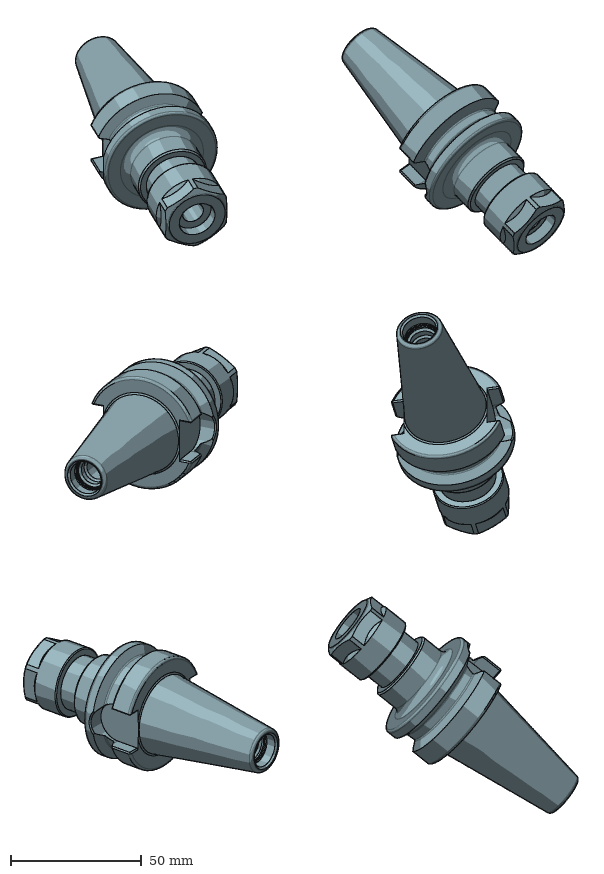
import cadquery as cq
import math

total_length = 108.4
flange_left = 49.3
flange_right = 70.5
neck_end = 82.5
nut_start = 90.8

taper_ratio = 7 / 24
taper_end = 49.0
taper_end_radius = 32.0 / 2
taper_tip_radius = taper_end_radius - taper_end * taper_ratio / 2
taper_tip_fillet = 1.3
taper_base_radius = 33.5 / 2

flange_radius = 46.0 / 2
flange_fillet = 1.0
groove_left = 58.0
groove_right = 66.2
groove_radius = 38.4 / 2
groove_flank_angle = 30
groove_flank_run = (flange_radius - groove_radius) * math.tan(math.radians(groove_flank_angle))
groove_fillet = 0.7

neck_radius = 28.0 / 2
neck_fillet = 3.0
neck_edge_chamfer = 0.7
shaft_radius = 22.0 / 2
shaft_end = 104.1

slot_half_width = 16.2 / 2
slot_floor_y = 16.3
slot_end = 67.3
slot_arc_center = slot_end - slot_half_width
slot_chamfer = 0.5

mouth_radius = 14.6 / 2
entry_radius = 13.1 / 2
entry_depth = 4.5
relief_radius = 12.5 / 2
relief_depth = 5.4
step_radius = 11.8 / 2
step_depth = 6.5
pilot_radius = 10.1 / 2
pilot_depth = 9.8
through_radius = 8.5 / 2

nut_radius = neck_radius
nut_back_chamfer = 0.4
hex_start = 101.0
hex_across_flats = 25.0
tip_cone_start = 106.9
tip_cone_end_radius = 23.5 / 2
tip_chamfer = 0.3
nut_opening_radius = 14.6 / 2


def revolve_about_x(profile):
    """Closes an XY profile and turns it into a solid around the X axis."""
    return profile.close().revolve(360, (0, 0, 0), (1, 0, 0))


def edges_at(solid, x, radius):
    """Selects the circle around the axis at the given station and radius."""
    margin = 0.01
    reach = radius + margin
    station = cq.selectors.BoxSelector(
        (x - margin, -reach, -reach), (x + margin, reach, reach), boundingbox=True
    )
    return solid.edges(station).edges(cq.selectors.RadiusNthSelector(-1))


def holder_blank():
    """Solid of revolution for the taper, flange, neck and shaft, with its edges finished."""
    profile = (
        cq.Workplane("XY")
        .lineTo(0, taper_tip_radius)
        .lineTo(taper_end, taper_end_radius)
        .lineTo(flange_left, taper_base_radius)
        .lineTo(flange_left, flange_radius)
        .lineTo(groove_left, flange_radius)
        .lineTo(groove_left + groove_flank_run, groove_radius)
        .lineTo(groove_right - groove_flank_run, groove_radius)
        .lineTo(groove_right, flange_radius)
        .lineTo(flange_right, flange_radius)
        .lineTo(flange_right, neck_radius)
        .lineTo(neck_end, neck_radius)
        .lineTo(neck_end, shaft_radius)
        .lineTo(shaft_end, shaft_radius)
        .lineTo(shaft_end, 0)
    )
    blank = revolve_about_x(profile)
    rounded_edges = [
        (0, taper_tip_radius, taper_tip_fillet),
        (flange_left, flange_radius, flange_fillet),
        (groove_left + groove_flank_run, groove_radius, groove_fillet),
        (groove_right - groove_flank_run, groove_radius, groove_fillet),
        (flange_right, flange_radius, flange_fillet),
        (flange_right, neck_radius, neck_fillet),
    ]
    for x, radius, fillet in rounded_edges:
        blank = edges_at(blank, x, radius).fillet(fillet)
    return edges_at(blank, neck_end, neck_radius).chamfer(neck_edge_chamfer)


def bore():
    """Through bore that narrows in steps from the taper tip, each step a 45 degree cone."""
    profile = (
        cq.Workplane("XY")
        .lineTo(0, mouth_radius)
        .lineTo(mouth_radius - entry_radius, entry_radius)
        .lineTo(entry_depth, entry_radius)
        .lineTo(entry_depth + entry_radius - relief_radius, relief_radius)
        .lineTo(relief_depth, relief_radius)
        .lineTo(relief_depth + relief_radius - step_radius, step_radius)
        .lineTo(step_depth, step_radius)
        .lineTo(step_depth + step_radius - pilot_radius, pilot_radius)
        .lineTo(pilot_depth, pilot_radius)
        .lineTo(pilot_depth + pilot_radius - through_radius, through_radius)
        .lineTo(shaft_end, through_radius)
        .lineTo(shaft_end, 0)
    )
    return revolve_about_x(profile)


def slot_prism(outline):
    """Extrudes an XZ outline from the slot floor outwards to the flange rim."""
    return outline.close().extrude(slot_floor_y - flange_radius)


def drive_slot():
    """Round-ended slot on the +Y side, its straight walls chamfered at the flange face and rim."""
    flared_half_width = slot_half_width + slot_chamfer
    floor_plane = cq.Workplane("XZ", origin=(0, slot_floor_y, 0))
    slot = slot_prism(
        floor_plane.moveTo(taper_end, -slot_half_width)
        .lineTo(slot_arc_center, -slot_half_width)
        .threePointArc((slot_end, 0), (slot_arc_center, slot_half_width))
        .lineTo(taper_end, slot_half_width)
    )
    face_flare = slot_prism(
        floor_plane.moveTo(flange_left, -flared_half_width)
        .lineTo(flange_left + slot_chamfer, -slot_half_width)
        .lineTo(flange_left + slot_chamfer, slot_half_width)
        .lineTo(flange_left, flared_half_width)
    )
    rim_y = math.sqrt(flange_radius**2 - flared_half_width**2)
    rim_flare = (
        cq.Workplane("YZ", origin=(flange_left, 0, 0))
        .moveTo(rim_y - slot_chamfer, -slot_half_width)
        .lineTo(rim_y, -flared_half_width)
        .lineTo(flange_radius, -flared_half_width)
        .lineTo(flange_radius, flared_half_width)
        .lineTo(rim_y, flared_half_width)
        .lineTo(rim_y - slot_chamfer, slot_half_width)
        .close()
        .extrude(groove_left + groove_flank_run - flange_left)
    )
    return slot.union(face_flare).union(rim_flare)


def slot_end_rims():
    """Selector for the edges where the round slot ends break out through the flange rim."""
    margin = 0.1
    reach_y = flange_radius + margin
    low_corner = (groove_right - margin, -reach_y, -slot_half_width)
    high_corner = (slot_end + margin, reach_y, slot_half_width)
    return cq.selectors.BoxSelector(low_corner, high_corner, boundingbox=True)


def make_holder():
    """Tool holder with its stepped bore and both drive slots."""
    holder = holder_blank().cut(bore())
    slot = drive_slot()
    holder = holder.cut(slot).cut(slot.mirror("XZ"))
    return holder.edges(slot_end_rims()).chamfer(slot_chamfer)


def hex_envelope():
    """Hexagon with flats facing Y, blended into the round body by a 45 degree cone at its start."""
    half_flat_angle = 30
    corner_diameter = hex_across_flats / math.cos(math.radians(half_flat_angle))
    prism = (
        cq.Workplane("YZ", origin=(nut_start, 0, 0))
        .polygon(6, corner_diameter)
        .extrude(total_length - nut_start)
        .rotate((0, 0, 0), (1, 0, 0), half_flat_angle)
    )
    round_back = revolve_about_x(
        cq.Workplane("XY")
        .moveTo(nut_start, 0)
        .lineTo(nut_start, nut_radius)
        .lineTo(hex_start, nut_radius)
        .lineTo(hex_start + nut_radius, 0)
    )
    return prism.union(round_back)


def make_nut():
    """Round nut with a hexagonal front, bored to sit on the end of the shaft."""
    body = revolve_about_x(
        cq.Workplane("XY")
        .moveTo(nut_start, shaft_radius)
        .lineTo(nut_start, nut_radius - nut_back_chamfer)
        .lineTo(nut_start + nut_back_chamfer, nut_radius)
        .lineTo(tip_cone_start, nut_radius)
        .lineTo(total_length - tip_chamfer, tip_cone_end_radius)
        .lineTo(total_length, tip_cone_end_radius - tip_chamfer)
        .lineTo(total_length, nut_opening_radius)
        .lineTo(shaft_end, nut_opening_radius)
        .lineTo(shaft_end, shaft_radius)
    )
    return body.intersect(hex_envelope())


holder = make_holder()
nut = make_nut()
result = cq.Compound.makeCompound([holder.val(), nut.val()])